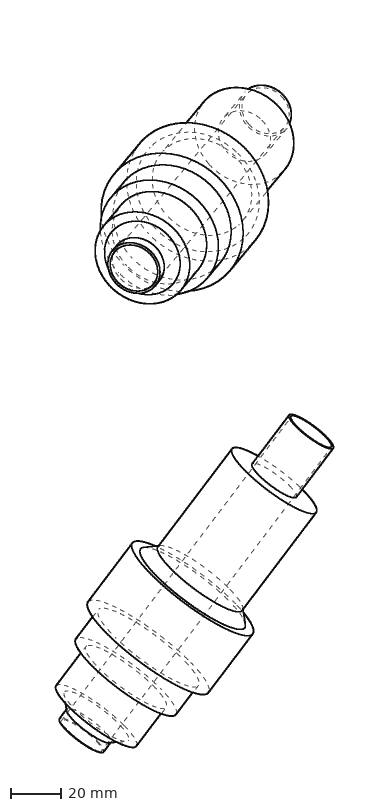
import cadquery as cq

total_length = 155.0
bore_diameter = 20.0
tube_diameter = 22.0

front_tube_length = 5.0
cone_length = 5.0
nose_length = 20.0
shoulder_length = 15.0
collar_length = 30.0
body_length = 50.0

nose_cone_diameter = 32.0
nose_diameter = 40.0
shoulder_diameter = 49.9
collar_diameter = 60.0
collar_cone_diameter = 52.0
body_diameter = 42.0

middle_length = (
    front_tube_length + 2 * cone_length + nose_length
    + shoulder_length + collar_length + body_length
)
back_tube_length = total_length - middle_length

sections = [
    (front_tube_length, tube_diameter, tube_diameter),
    (cone_length, tube_diameter, nose_cone_diameter),
    (nose_length, nose_diameter, nose_diameter),
    (shoulder_length, shoulder_diameter, shoulder_diameter),
    (collar_length, collar_diameter, collar_diameter),
    (cone_length, collar_cone_diameter, body_diameter),
    (body_length, body_diameter, body_diameter),
    (back_tube_length, tube_diameter, tube_diameter),
]


def half_profile(sections, bore_radius):
    """Outline of the wall on one side of the axis: X is radius, Y is length."""
    outline = cq.Workplane("XY").moveTo(bore_radius, 0)
    y = 0
    radius = bore_radius
    for length, front_diameter, back_diameter in sections:
        if front_diameter / 2 != radius:
            outline = outline.lineTo(front_diameter / 2, y)
        y += length
        radius = back_diameter / 2
        outline = outline.lineTo(radius, y)
    return outline.lineTo(bore_radius, y).close()


result = half_profile(sections, bore_diameter / 2).revolve(360, (0, 0, 0), (0, 1, 0))